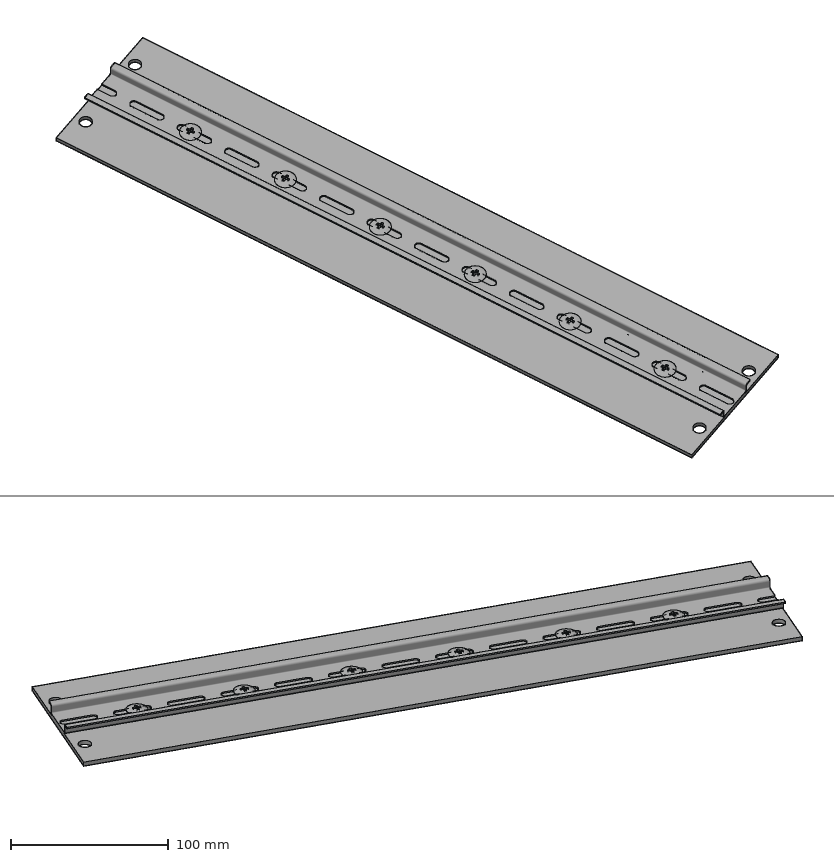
import cadquery as cq
import math

plate_length = 482.0
plate_width = 100.0
plate_thickness = 3.0
plate_left = -plate_length / 2

mount_hole_diameter = 8.5
mount_hole_pitch_x = 465.5
mount_hole_pitch_y = 57.0

rail_width = 35.0
rail_channel_width = 27.0
rail_height = 7.5
rail_sheet = 1.0
bend_inner_radius = 0.8
bend_outer_radius = bend_inner_radius + rail_sheet
rail_floor_top = plate_thickness + rail_sheet

slot_length = 25.0
slot_width = 5.2
slot_pitch = 36.0
slot_count = 14

screw_count = 6
screw_pitch = 2 * slot_pitch
first_screw_offset = 69.0
screw_head_diameter = 14.0
screw_head_height = 1.6
screw_shank_diameter = 8.0
screw_neck_diameter = slot_width
screw_protrusion = 2.0

recess_span = 5.2
recess_arm_width = 1.5
recess_depth = 2.0


def make_plate():
    plate = cq.Workplane("XY").box(
        plate_length, plate_width, plate_thickness, centered=(True, True, False)
    )
    holes = (
        cq.Workplane("XY")
        .rarray(mount_hole_pitch_x, mount_hole_pitch_y, 2, 2)
        .circle(mount_hole_diameter / 2)
        .extrude(plate_thickness)
    )
    return plate.cut(holes)


def round_rail_edges(rail, y, z, radius):
    """Round the pair of lengthwise edges at a distance y either side of the middle and a height z."""
    for side in (-1, 1):
        edge_point = (0, side * y, plate_thickness + z)
        rail = rail.edges(cq.selectors.NearestToPointSelector(edge_point)).fillet(radius)
    return rail


def make_rail():
    """Bent sheet: a floor, two walls and two outward flanges."""
    wall_outside = rail_channel_width / 2
    wall_inside = wall_outside - rail_sheet
    flange_edge = rail_width / 2
    flange_bottom = rail_height - rail_sheet
    half_profile = [
        (wall_inside, rail_sheet),
        (wall_inside, rail_height),
        (flange_edge, rail_height),
        (flange_edge, flange_bottom),
        (wall_outside, flange_bottom),
        (wall_outside, 0),
    ]
    mirrored_profile = [(-y, z) for y, z in reversed(half_profile)]
    rail = (
        cq.Workplane("YZ", origin=(plate_left, 0, plate_thickness))
        .polyline(half_profile + mirrored_profile)
        .close()
        .extrude(plate_length)
    )
    rail = round_rail_edges(rail, wall_inside, rail_sheet, bend_inner_radius)
    rail = round_rail_edges(rail, wall_outside, flange_bottom, bend_inner_radius)
    rail = round_rail_edges(rail, wall_inside, rail_height, bend_outer_radius)
    return round_rail_edges(rail, wall_outside, 0, bend_outer_radius)


def make_slots():
    centers = [(plate_left + i * slot_pitch, 0) for i in range(slot_count)]
    return (
        cq.Workplane("XY", origin=(0, 0, plate_thickness))
        .pushPoints(centers)
        .slot2D(slot_length, slot_width)
        .extrude(rail_sheet)
    )


def make_screw_head():
    """Spherical cap resting on the rail floor."""
    head_radius = screw_head_diameter / 2
    dome_radius = (head_radius**2 + screw_head_height**2) / (2 * screw_head_height)
    dome_half_angle = math.asin(head_radius / dome_radius)
    mid_x = dome_radius * math.sin(dome_half_angle / 2)
    mid_z = screw_head_height - dome_radius * (1 - math.cos(dome_half_angle / 2))
    return (
        cq.Workplane("XZ", origin=(0, 0, rail_floor_top))
        .lineTo(head_radius, 0)
        .threePointArc((mid_x, mid_z), (0, screw_head_height))
        .close()
        .revolve(360, (0, 0), (0, 1))
    )


def make_screw():
    shank = (
        cq.Workplane("XY", origin=(0, 0, -screw_protrusion))
        .circle(screw_shank_diameter / 2)
        .extrude(screw_protrusion + plate_thickness)
    )
    neck = cq.Workplane("XY").circle(screw_neck_diameter / 2).extrude(rail_floor_top)
    recess_bottom = rail_floor_top + screw_head_height - recess_depth
    recess_plane = cq.Workplane("XY", origin=(0, 0, recess_bottom))
    arm_along_x = recess_plane.rect(recess_span, recess_arm_width).extrude(recess_depth)
    arm_along_y = recess_plane.rect(recess_arm_width, recess_span).extrude(recess_depth)
    screw = shank.union(neck).union(make_screw_head())
    return screw.cut(arm_along_x).cut(arm_along_y)


result = make_plate().union(make_rail().cut(make_slots()))
screw = make_screw()
for i in range(screw_count):
    screw_x = plate_left + first_screw_offset + i * screw_pitch
    result = result.union(screw.translate((screw_x, 0, 0)))